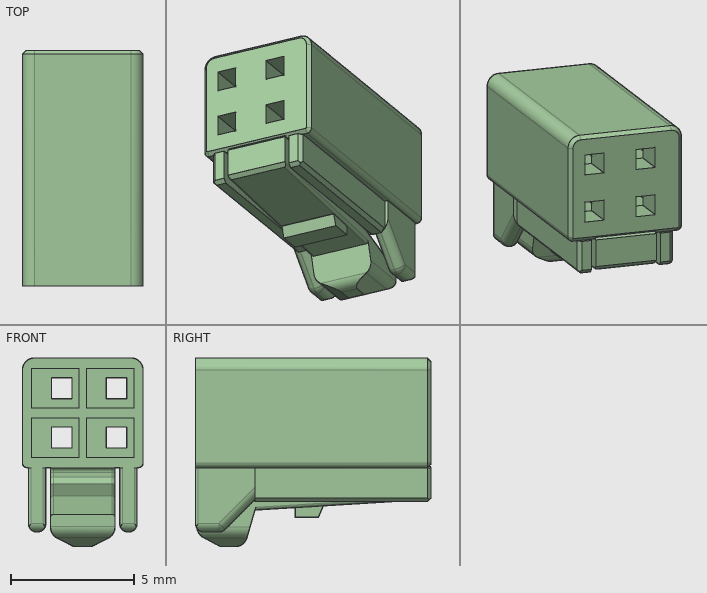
import cadquery as cq


LENGTH = 9.55
WIDTH = 4.9
HEIGHT = 4.45
TOP_RADIUS = 0.5
BOTTOM_RADIUS = 0.2
REAR_CHAMFER = 0.15

POCKET_WIDTH = 1.93
POCKET_HEIGHT = 1.6
POCKET_DEPTH = 8.12
POCKET_PITCH_X = 2.22
POCKET_PITCH_Z = 2.0
LOWER_POCKET_Z = 1.22
HOLE_WIDTH = 0.82
HOLE_HEIGHT = 0.84
HOLE_OFFSET_X = 0.26

LEG_INNER_X = 1.49
LEG_THICKNESS = 0.72
LEG_DROP = 2.61
LEG_LENGTH = 2.42
LEG_REAR_DROP = 1.29
LEG_BOTTOM_RADIUS = 0.35
LEG_HEEL_RADIUS = 0.36
LEG_FRONT_RADIUS = 0.11
RAIL_DROP = 1.375
RAIL_INSET = 0.14

HOOK_FRONT_Y = 0.06
LATCH_WIDTH = 2.62
LATCH_DROP = 3.2
HOOK_FACE_TOP = 1.89
HOOK_FACE_CORNER = 2.68
HOOK_TIP_FRONT_Y = 1.02
HOOK_TIP_REAR_Y = 1.99
HOOK_ROUND = 0.5
HOOK_REAR_ROUND = 0.5
HOOK_SIDE_CORNER = 2.71
HOOK_TIP_WIDTH = 0.71
HOOK_REAR_Y = LEG_LENGTH
ARM_BOTTOM_FRONT = 1.72
ARM_BOTTOM_REAR = 1.28
ARM_TOP_FRONT_Y = 2.58
ARM_TOP_FRONT = 1.15
ROOT_Y = 8.595
ROOT_EMBED = 0.19
ARM_TOP_REAR = 0.63
ROOT_TOP_RADIUS = 0.2
ROOT_BOTTOM_RADIUS = 0.29
ARM_EDGE_RADIUS = 0.11

STOP_WIDTH = LATCH_WIDTH - 2 * ARM_EDGE_RADIUS
STOP_FRONT_Y = 4.04
STOP_REAR_TOP_Y = 5.18
STOP_REAR_BOTTOM_Y = 4.985
STOP_REAR_TOP = 1.57
STOP_DROP = 2.015
STOP_EMBED_TOP = 1.34

TOL = 0.01


def extrude_side_profile(points, x_start, width):
    """Extrude an outline of (y, z) points along +X from x_start."""
    return cq.Workplane("YZ").workplane(offset=x_start).polyline(points).close().extrude(width)


def make_block():
    block = cq.Workplane("XY").box(WIDTH, LENGTH, HEIGHT, centered=(True, False, False))
    block = block.edges("|Y and >Z").fillet(TOP_RADIUS)
    block = block.edges("|Y and <Z").fillet(BOTTOM_RADIUS)
    return block.faces(">Y").chamfer(REAR_CHAMFER)


def make_cavity(x, z):
    """Pocket and through hole, with the pocket centred on (x, z)."""
    centered = (True, False, True)
    pocket = cq.Workplane("XY").box(POCKET_WIDTH, POCKET_DEPTH, POCKET_HEIGHT, centered=centered)
    hole = cq.Workplane("XY").box(HOLE_WIDTH, LENGTH, HOLE_HEIGHT, centered=centered)
    return pocket.union(hole.translate((HOLE_OFFSET_X, 0, 0))).translate((x, 0, z))


def make_leg():
    """Leg and rail on the +X side."""
    slope_run = LEG_DROP - LEG_REAR_DROP
    outline = [
        (0, 0),
        (0, -LEG_DROP),
        (LEG_LENGTH - slope_run, -LEG_DROP),
        (LEG_LENGTH, -LEG_REAR_DROP),
        (LEG_LENGTH, 0),
    ]
    leg = extrude_side_profile(outline, LEG_INNER_X, LEG_THICKNESS)
    heel = cq.selectors.NearestToPointSelector((LEG_INNER_X, LEG_LENGTH - slope_run, -LEG_DROP))
    leg = leg.edges("|X").edges(heel).fillet(LEG_HEEL_RADIUS)

    underside = cq.selectors.BoxSelector(
        (0, TOL, -LEG_DROP - TOL), (WIDTH, LEG_LENGTH - TOL, -LEG_REAR_DROP)
    )
    leg = leg.edges(underside).edges("not |X").fillet(LEG_BOTTOM_RADIUS)

    blank = cq.Workplane("XY").box(LEG_THICKNESS, LEG_LENGTH, LEG_DROP, centered=False)
    blank = blank.translate((LEG_INNER_X, 0, -LEG_DROP))
    leg = leg.intersect(blank.edges("|Z and <Y").fillet(LEG_FRONT_RADIUS))
    leg = leg.intersect(blank.edges("|X and <Y and <Z").fillet(LEG_BOTTOM_RADIUS))

    rail = cq.Workplane("XY").box(
        LEG_THICKNESS - RAIL_INSET, LENGTH - LEG_LENGTH, RAIL_DROP, centered=False
    ).translate((LEG_INNER_X, LEG_LENGTH, -RAIL_DROP))
    rail = rail.faces("<Z").edges(">X or >Y").chamfer(REAR_CHAMFER)
    rail = rail.faces(">Y").edges(">X").chamfer(REAR_CHAMFER)
    return leg.union(rail)


def edges_at(y, z):
    """Select edges along X that pass through the given (y, z) position."""
    return cq.selectors.BoxSelector((-TOL, y - TOL, z - TOL), (TOL, y + TOL, z + TOL))


def make_hook_envelope():
    """Prism along Y that bevels both sides of the hook towards its tip."""
    half_width = LATCH_WIDTH / 2
    half_tip = HOOK_TIP_WIDTH / 2
    front_outline = [
        (-half_width, ROOT_EMBED),
        (-half_width, -HOOK_SIDE_CORNER),
        (-half_tip, -LATCH_DROP),
        (half_tip, -LATCH_DROP),
        (half_width, -HOOK_SIDE_CORNER),
        (half_width, ROOT_EMBED),
    ]
    envelope = cq.Workplane("XZ").polyline(front_outline).close().extrude(-LENGTH)
    side_corners = cq.selectors.BoxSelector(
        (-WIDTH, 0, -HOOK_SIDE_CORNER - TOL), (WIDTH, LENGTH, -HOOK_SIDE_CORNER + TOL)
    )
    return envelope.edges(side_corners).fillet(HOOK_ROUND)


def make_latch():
    root_fillet_y = ROOT_Y - ROOT_TOP_RADIUS
    outline = cq.Workplane("YZ").workplane(offset=-LATCH_WIDTH / 2).moveTo(root_fillet_y, ROOT_EMBED)
    outline = outline.lineTo(root_fillet_y, 0)
    outline = outline.radiusArc((ROOT_Y, -ROOT_TOP_RADIUS), ROOT_TOP_RADIUS)
    corners = [
        (ROOT_Y, -ARM_TOP_REAR),
        (ARM_TOP_FRONT_Y, -ARM_TOP_FRONT),
        (HOOK_FRONT_Y, -HOOK_FACE_TOP),
        (HOOK_FRONT_Y, -HOOK_FACE_CORNER),
        (HOOK_TIP_FRONT_Y, -LATCH_DROP),
        (HOOK_TIP_REAR_Y, -LATCH_DROP),
        (HOOK_REAR_Y, -ARM_BOTTOM_FRONT),
        (LENGTH, -ARM_BOTTOM_REAR),
        (LENGTH, 0),
        (LENGTH - REAR_CHAMFER, ROOT_EMBED),
    ]
    for corner in corners:
        outline = outline.lineTo(*corner)
    latch = outline.close().extrude(LATCH_WIDTH)
    latch = latch.edges(edges_at(ROOT_Y, -ARM_TOP_REAR)).fillet(ROOT_BOTTOM_RADIUS)
    latch = latch.edges(edges_at(HOOK_FRONT_Y, -HOOK_FACE_CORNER)).fillet(HOOK_ROUND)
    latch = latch.edges(edges_at(HOOK_TIP_REAR_Y, -LATCH_DROP)).fillet(HOOK_REAR_ROUND)
    latch = latch.faces(">Y").edges("<Z").chamfer(REAR_CHAMFER)

    gap_edges = cq.selectors.BoxSelector(
        (-LATCH_WIDTH, HOOK_FRONT_Y + TOL, -HOOK_FACE_TOP + TOL), (LATCH_WIDTH, ROOT_Y + TOL, -TOL)
    )
    latch = latch.edges(gap_edges).edges("not |X").fillet(ARM_EDGE_RADIUS)
    return latch.intersect(make_hook_envelope())


def make_stop():
    outline = [
        (STOP_FRONT_Y, -STOP_EMBED_TOP),
        (STOP_FRONT_Y, -STOP_DROP),
        (STOP_REAR_BOTTOM_Y, -STOP_DROP),
        (STOP_REAR_TOP_Y, -STOP_REAR_TOP),
        (STOP_REAR_TOP_Y, -STOP_EMBED_TOP),
    ]
    return extrude_side_profile(outline, -STOP_WIDTH / 2, STOP_WIDTH)


leg = make_leg()
result = make_block().union(make_latch()).union(make_stop()).union(leg).union(leg.mirror("YZ"))
for column in (-0.5, 0.5):
    for row in (0, 1):
        result = result.cut(make_cavity(column * POCKET_PITCH_X, LOWER_POCKET_Z + row * POCKET_PITCH_Z))